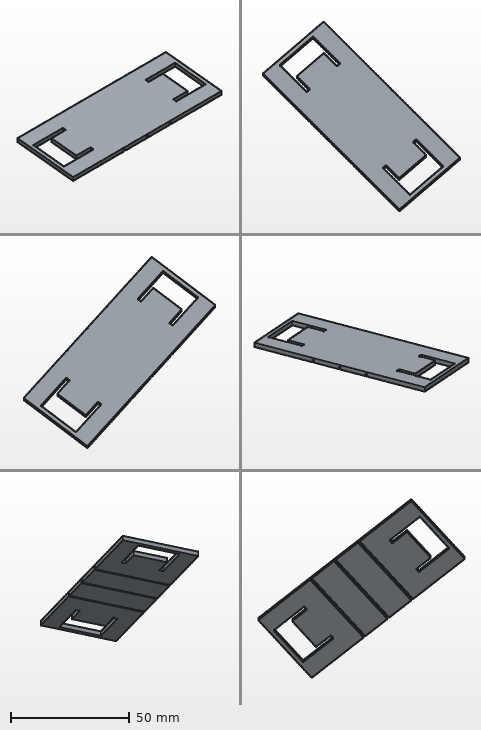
import cadquery as cq

width = 35.0
length = 85.0
thickness = 2.1

window_width = 19.2
window_length = 16.8
end_bar = 1.95
tongue_width = 15.6
tongue_length = 8.2

groove_width = 0.85
groove_depth = 1.0
groove_spacing = 13.3
groove_count = 3


def end_window(end):
    """Window cutter for one end of the plate, less its tongue (end is +1 or -1)."""
    outer_edge = length / 2 - end_bar
    inner_edge = outer_edge - window_length
    window = cq.Workplane("XY").box(window_width, window_length, thickness)
    window = window.translate((0, end * (outer_edge - window_length / 2), thickness / 2))
    tongue = cq.Workplane("XY").box(tongue_width, tongue_length, thickness)
    tongue = tongue.translate((0, end * (inner_edge + tongue_length / 2), thickness / 2))
    return window.cut(tongue)


def underside_grooves():
    """Evenly spaced grooves running the full width of the underside."""
    return (
        cq.Workplane("XY")
        .rarray(0.85, groove_spacing, 1, groove_count)
        .rect(width, groove_width)
        .extrude(groove_depth)
    )


result = cq.Workplane("XY").rect(width, length).extrude(thickness)
for end in (-1, 1):
    result = result.cut(end_window(end))
result = result.cut(underside_grooves())